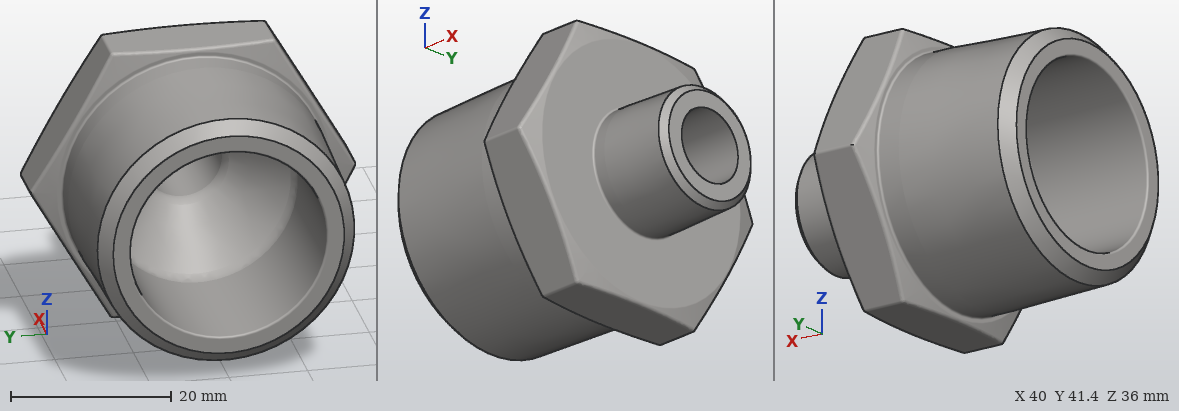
import cadquery as cq
import math

BIG_TAPER_END = 16.75
HEX_START = 20.0
HEX_END = 28.0
SMALL_TAPER_START = 29.9
TOTAL_LENGTH = 40.0

HEX_SIDES = 6
CORNER_WIDTH = 41.4
HEX_ROUND = 0.5
HEX_BEVEL_ANGLE = 15.0
HEX_FACE_DIA = 35.05

BIG_DIA = 33.65
BIG_CHAMFER = 1.65
SMALL_DIA = 16.9
SMALL_CHAMFER = 0.9
DIAMETER_TAPER = 1 / 16
NECK_FILLET = 0.3

BIG_BORE_DIA = 25.0
SMALL_BORE_DIA = 10.0
BIG_BORE_DEPTH = 18.1
FUNNEL_ANGLE = 42.6
MOUTH_ROUND = 0.3
FUNNEL_ROUND = 2.15


def revolve_about_x(profile):
    return profile.close().revolve(360, (0, 0, 0), (1, 0, 0))


def make_hexagon():
    thickness = HEX_END - HEX_START
    half_angle = math.pi / HEX_SIDES
    sharp_width = CORNER_WIDTH + 2 * HEX_ROUND * (1 / math.cos(half_angle) - 1)
    prism = (
        cq.Workplane("YZ", origin=(HEX_START, 0, 0))
        .polygon(HEX_SIDES, sharp_width)
        .extrude(thickness)
        .edges("|X")
        .fillet(HEX_ROUND)
    )
    face_radius = HEX_FACE_DIA / 2
    outer_radius = sharp_width / 2
    bevel = (outer_radius - face_radius) * math.tan(math.radians(HEX_BEVEL_ANGLE))
    envelope = revolve_about_x(
        cq.Workplane("XY")
        .moveTo(HEX_START, 0)
        .lineTo(HEX_START, face_radius)
        .lineTo(HEX_START + bevel, outer_radius)
        .lineTo(HEX_END - bevel, outer_radius)
        .lineTo(HEX_END, face_radius)
        .lineTo(HEX_END, 0)
    )
    hexagon = prism.intersect(envelope)
    rims_and_face_circles = hexagon.edges("not(|X)")
    return rims_and_face_circles.fillet(HEX_ROUND)


def make_male_end(face_x, taper_x, hex_x, diameter, chamfer):
    """Chamfered, tapered end with a straight neck that flares into the hexagon."""
    inward = math.copysign(1, hex_x - face_x)
    shoulder_x = face_x + inward * chamfer
    radius = diameter / 2
    tip_radius = radius - abs(taper_x - shoulder_x) * DIAMETER_TAPER / 2
    flare_middle = NECK_FILLET * (1 - math.sqrt(0.5))
    return revolve_about_x(
        cq.Workplane("XY")
        .moveTo(face_x, 0)
        .lineTo(face_x, tip_radius - chamfer)
        .lineTo(shoulder_x, tip_radius)
        .lineTo(taper_x, radius)
        .lineTo(hex_x - inward * NECK_FILLET, radius)
        .threePointArc(
            (hex_x - inward * flare_middle, radius + flare_middle),
            (hex_x, radius + NECK_FILLET),
        )
        .lineTo(hex_x, 0)
    )


def make_bore():
    big_radius = BIG_BORE_DIA / 2
    small_radius = SMALL_BORE_DIA / 2
    funnel_length = (big_radius - small_radius) / math.tan(math.radians(FUNNEL_ANGLE))
    funnel_end = BIG_BORE_DEPTH + funnel_length
    bore = revolve_about_x(
        cq.Workplane("XY")
        .lineTo(0, big_radius)
        .lineTo(BIG_BORE_DEPTH, big_radius)
        .lineTo(funnel_end, small_radius)
        .lineTo(TOTAL_LENGTH, small_radius)
        .lineTo(TOTAL_LENGTH, 0)
    )
    funnel_ends = bore.edges("%CIRCLE and (not <X) and (not >X)")
    return funnel_ends.fillet(FUNNEL_ROUND)


body = (
    make_hexagon()
    .union(make_male_end(0, BIG_TAPER_END, HEX_START, BIG_DIA, BIG_CHAMFER))
    .union(make_male_end(TOTAL_LENGTH, SMALL_TAPER_START, HEX_END, SMALL_DIA, SMALL_CHAMFER))
)
bored = body.cut(make_bore())
mouth = bored.faces("<X").edges("%CIRCLE").edges(cq.selectors.RadiusNthSelector(0))
result = mouth.fillet(MOUTH_ROUND)